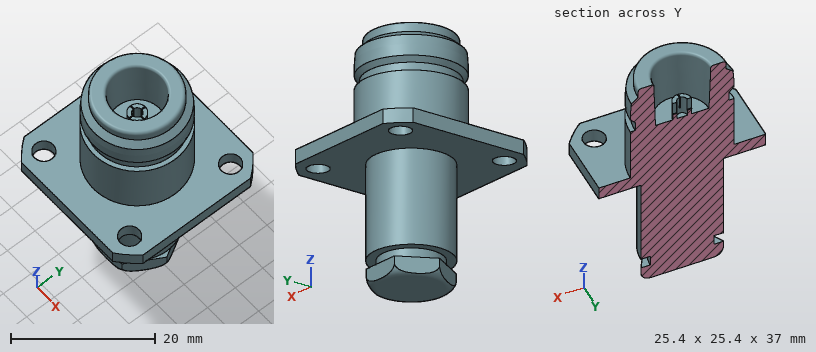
import cadquery as cq
import math

nut_top = 2.55
barrel_bottom = 4.1
flange_bottom = 18.35
flange_top = 20.5
body_top = 29.32
relief_top = 30.75
collar_bottom = 31.55
collar_top = 33.17
shoulder_bottom = 34.65
nose_bottom = 35.5
total_height = 37.02

neck_radius = 4.9
barrel_radius = 6.3
body_radius = 7.92
relief_radius = 7.2
collar_radius = 7.9
shoulder_radius = 7.77
nose_radius = 6.75
rim_fillet = 0.5

bore_mouth_radius = 4.3
bore_floor_radius = 4.05
bore_lip_fillet = 0.45
bore_depth = 8.0
pin_radius = 1.45
pin_hole_radius = 0.78
pin_recess = 5.0
pin_slot_width = 0.15
pin_slot_depth = 2.0

flange_side = 25.4
flange_corner_radius = 16.0
mount_hole_spacing = 18.3
mount_hole_radius = 1.65

nut_corner_radius = barrel_radius
nut_edge_round = 1.48


def cylinder(radius, bottom, top):
    return cq.Workplane("XY").workplane(offset=bottom).circle(radius).extrude(top - bottom)


def make_turned_body():
    """Neck, barrel, body, relief groove, collar and rounded nose as one revolved outline."""
    neck_root = nut_top / 2
    outline = [
        (0, neck_root),
        (neck_radius, neck_root),
        (neck_radius, barrel_bottom),
        (barrel_radius, barrel_bottom),
        (barrel_radius, flange_bottom),
        (body_radius, flange_bottom),
        (body_radius, body_top),
        (relief_radius, body_top),
        (relief_radius, relief_top),
        (collar_radius, collar_bottom),
        (collar_radius, collar_top),
        (shoulder_radius, shoulder_bottom),
        (nose_radius, nose_bottom),
        (nose_radius, total_height),
        (0, total_height),
    ]
    body = cq.Workplane("XZ").polyline(outline).close().revolve(360, (0, 0), (0, 1))
    return body.faces(">Z").edges().fillet(rim_fillet)


def make_flange():
    height = flange_top - flange_bottom
    plane = cq.Workplane("XY").workplane(offset=flange_bottom)
    plate = plane.rect(flange_side, flange_side).extrude(height)
    plate = plate.intersect(cylinder(flange_corner_radius, flange_bottom, flange_top))
    hole_centers = plane.rect(mount_hole_spacing, mount_hole_spacing, forConstruction=True).vertices()
    holes = hole_centers.circle(mount_hole_radius).extrude(height)
    return plate.cut(holes)


def make_nut():
    """Hexagon with two corners on the X axis and its bottom corners rounded by turning."""
    hexagon = cq.Workplane("XY").polygon(6, 2 * nut_corner_radius).extrude(nut_top)
    envelope = cylinder(nut_corner_radius, 0, nut_top).faces("<Z").edges().fillet(nut_edge_round)
    return hexagon.intersect(envelope)


def make_bore():
    """Cavity with a rounded lip and a gently tapered wall."""
    lip_z = total_height - bore_lip_fillet
    lip_middle = bore_lip_fillet * (1 - math.sqrt(0.5))
    return (
        cq.Workplane("XZ")
        .moveTo(0, total_height - bore_depth)
        .lineTo(bore_floor_radius, total_height - bore_depth)
        .lineTo(bore_mouth_radius, lip_z)
        .threePointArc(
            (bore_mouth_radius + lip_middle, total_height - lip_middle),
            (bore_mouth_radius + bore_lip_fillet, total_height),
        )
        .lineTo(0, total_height)
        .close()
        .revolve(360, (0, 0), (0, 1))
    )


def make_pin():
    """Hollow contact pin standing on the bore floor, its tip split into four fingers."""
    floor = total_height - bore_depth
    top = total_height - pin_recess
    pin = cylinder(pin_radius, floor, top).cut(cylinder(pin_hole_radius, floor, top))
    slot_plane = cq.Workplane("XY").workplane(offset=top)
    for angle in (0, 90):
        slot = slot_plane.rect(2 * pin_radius, pin_slot_width).extrude(-pin_slot_depth)
        pin = pin.cut(slot.rotate((0, 0, 0), (0, 0, 1), angle))
    return pin


shell = make_turned_body().union(make_flange()).union(make_nut()).cut(make_bore())
result = shell.union(make_pin())